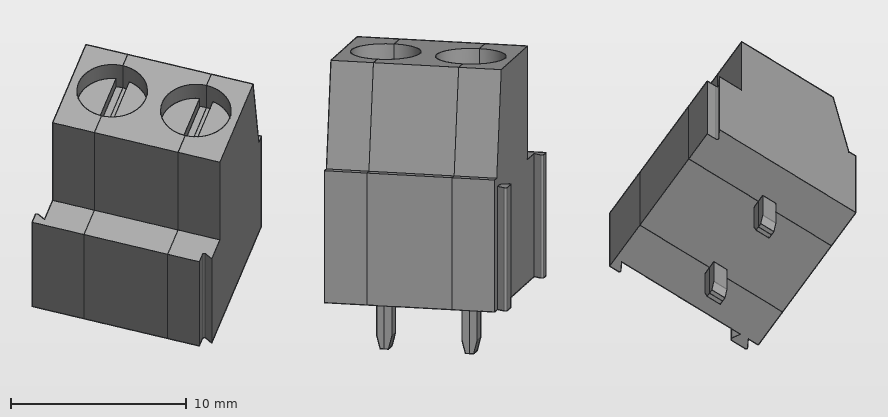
import cadquery as cq


pole_pitch = 5.0
housing_left = -pole_pitch / 2
housing_right = pole_pitch + pole_pitch / 2
depth = 9.8
overall_height = 17.3
pin_length = 3.48
housing_height = overall_height - pin_length

front_ledge_depth = 1.95
front_ledge_height = 7.2
rear_ledge_depth = 0.48
rear_ledge_height = 7.72
slope_run = 1.07

well_y = 5.31
well_radius = 2.0
well_depth = 1.2
slot_width = 0.8
slot_depth = 0.7

pin_y = 5.22
pin_size = 0.9
pin_tip_width = 0.48
pin_taper_length = 0.8

lock_reach = 0.6
lock_flare = 0.35
lock_corner_radius = 0.1
tail_from_rear = 0.95
tail_y = depth - tail_from_rear
tail_root_width = 0.55
lip_root_depth = 0.43


def housing_section(x_start, x_end):
    """Stretch of the stepped housing profile between two X planes."""
    slope_foot_y = depth - rear_ledge_depth
    return (
        cq.Workplane("YZ", origin=(x_start, 0, 0))
        .moveTo(0, 0)
        .lineTo(depth, 0)
        .lineTo(depth, rear_ledge_height)
        .lineTo(slope_foot_y, rear_ledge_height)
        .lineTo(slope_foot_y - slope_run, housing_height)
        .lineTo(front_ledge_depth, housing_height)
        .lineTo(front_ledge_depth, front_ledge_height)
        .lineTo(0, front_ledge_height)
        .close()
        .extrude(x_end - x_start)
    )


def screw_well(pole_x):
    """Volume removed above the slotted screw head of one pole."""
    floor_z = housing_height - well_depth
    well = cq.Workplane("XY", origin=(pole_x, well_y, floor_z)).circle(well_radius).extrude(well_depth)
    slot_base = cq.Workplane("XY", origin=(pole_x, well_y, floor_z - slot_depth))
    head = slot_base.circle(well_radius).extrude(slot_depth)
    slot_bar = slot_base.rect(slot_width, 2 * well_radius).extrude(slot_depth)
    return well.union(head.intersect(slot_bar))


def solder_pin(pole_x):
    """Square pin of one pole, tapering in width toward its tip."""
    taper_z = pin_taper_length - pin_length
    return (
        cq.Workplane("XZ", origin=(pole_x, pin_y + pin_size / 2, 0))
        .moveTo(-pin_size / 2, 0)
        .lineTo(pin_size / 2, 0)
        .lineTo(pin_size / 2, taper_z)
        .lineTo(pin_tip_width / 2, -pin_length)
        .lineTo(-pin_tip_width / 2, -pin_length)
        .lineTo(-pin_size / 2, taper_z)
        .close()
        .extrude(pin_size)
    )


def block_section(x_start, x_end, pole_places):
    """Housing between two X planes with its share of the given poles."""
    section = housing_section(x_start, x_end)
    slab = cq.Workplane("XY").box(x_end - x_start, depth, pin_length, centered=False)
    slab = slab.translate((x_start, 0, -pin_length))
    for pole_x in pole_places:
        section = section.cut(screw_well(pole_x))
        section = section.union(solder_pin(pole_x).intersect(slab))
    return section


def dovetail(face_x):
    """Vertical dovetail tail standing out from an end face toward -X."""
    root = tail_root_width / 2
    tip = root + lock_flare
    return (
        cq.Workplane("XY")
        .moveTo(face_x, tail_y - root)
        .lineTo(face_x, tail_y + root)
        .lineTo(face_x - lock_reach, tail_y + tip)
        .lineTo(face_x - lock_reach, tail_y - tip)
        .close()
        .extrude(front_ledge_height)
        .edges("|Z and <X")
        .fillet(lock_corner_radius)
    )


def hooked_lip(face_x):
    """Vertical half dovetail along the front corner, standing out toward -X."""
    return (
        cq.Workplane("XY")
        .moveTo(face_x, 0)
        .lineTo(face_x, lip_root_depth)
        .lineTo(face_x - lock_reach, lip_root_depth + lock_flare)
        .lineTo(face_x - lock_reach, 0)
        .close()
        .extrude(front_ledge_height)
        .edges("|Z and <X and >Y")
        .fillet(lock_corner_radius)
    )


def left_end():
    """End section with the dovetail and the hooked lip."""
    section = block_section(housing_left, 0, [0])
    return section.union(dovetail(housing_left)).union(hooked_lip(housing_left))


def middle_section():
    """Plain section between the two pole centre planes."""
    return block_section(0, pole_pitch, [0, pole_pitch])


def right_end():
    """End section notched to receive the hooked lip of a neighbouring block."""
    section = block_section(pole_pitch, housing_right, [pole_pitch])
    return section.cut(hooked_lip(housing_right))


result = cq.Compound.makeCompound([
    left_end().val(),
    middle_section().val(),
    right_end().val(),
])